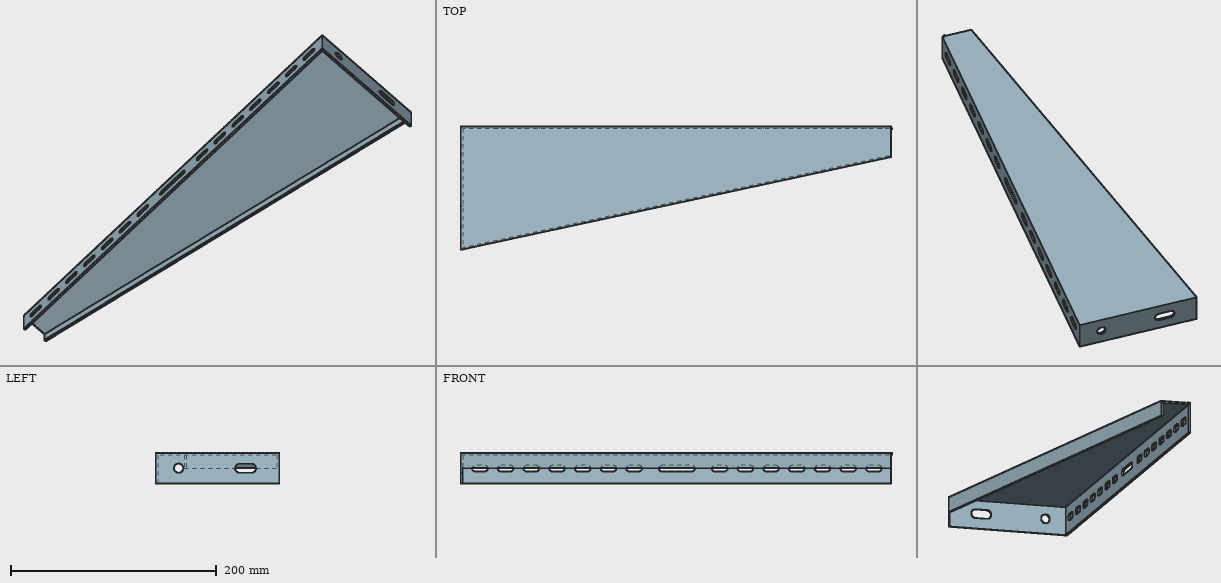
import cadquery as cq

length = 420.0
root_width = 120.0
tip_width = 30.0
height = 30.0
sheet = 2.0

tab_length = 1.3
tab_width = 1.0
arm_end = length - tab_length
lip_height = height / 2

hole_diameter = 9.0
hole_offset = 22.3
fixing_slot_offset = 87.5
fixing_slot_length = 20.0

slot_height = 6.5
slot_length = 15.0
middle_slot_length = 35.0
first_slot_offset = 41.5
last_slot_offset = 191.5
slots_per_side = 7
slot_pitch = (last_slot_offset - first_slot_offset) / (slots_per_side - 1)
slot_row_middle = (sheet + arm_end) / 2

taper = (root_width - tip_width) / arm_end
mid_height = height / 2


def front_edge(x):
    """Y of the tapered front edge at a given distance from the root."""
    return -root_width + taper * x


def tapered_sheet(start, end, inset, thickness):
    """Plate between the back edge and the front edge moved inward by inset in y."""
    outline = [
        (start, 0),
        (end, 0),
        (end, front_edge(end) + inset),
        (start, front_edge(start) + inset),
    ]
    return cq.Workplane("XY").polyline(outline).close().extrude(thickness)


def box(x_size, y_size, z_size):
    """Box with its lower, root-side corner on the back edge, extending toward -Y."""
    return cq.Workplane("XY").box(x_size, y_size, z_size, centered=False).translate((0, -y_size, 0))


def make_top_plate():
    plate = tapered_sheet(0, arm_end, 0, sheet)
    tab = box(tab_length, tab_width, sheet).translate((arm_end, -sheet, 0))
    return plate.union(tab).translate((0, 0, height - sheet))


def make_front_lip():
    lip_inset = sheet * (1 + taper**2) ** 0.5
    outer = tapered_sheet(0, arm_end, 0, lip_height)
    inner = tapered_sheet(0, arm_end, lip_inset, lip_height)
    return outer.cut(inner).translate((0, 0, height - lip_height))


def make_end_plate():
    plate = tapered_sheet(0, sheet, 0, height)
    hole = (
        cq.Workplane("YZ")
        .center(-hole_offset, mid_height)
        .circle(hole_diameter / 2)
        .extrude(sheet)
    )
    slot = (
        cq.Workplane("YZ")
        .center(-fixing_slot_offset, mid_height)
        .slot2D(fixing_slot_length, hole_diameter)
        .extrude(sheet)
    )
    return plate.cut(hole).cut(slot)


def make_back_flange():
    flange = box(arm_end, sheet, height)
    offsets = [first_slot_offset + i * slot_pitch for i in range(slots_per_side)]
    centers = [(slot_row_middle + side * d, mid_height) for side in (-1, 1) for d in offsets]
    slots = cq.Workplane("XZ").pushPoints(centers).slot2D(slot_length, slot_height).extrude(sheet)
    middle_slot = (
        cq.Workplane("XZ")
        .center(slot_row_middle, mid_height)
        .slot2D(middle_slot_length, slot_height)
        .extrude(sheet)
    )
    return flange.cut(slots).cut(middle_slot)


arm = make_top_plate().union(make_front_lip()).union(make_end_plate()).union(make_back_flange())
result = arm.clean()